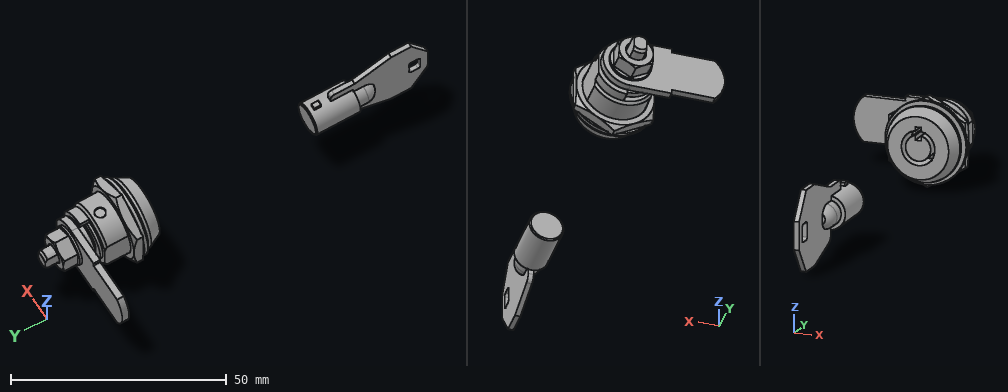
import cadquery as cq
import math


bezel_front_radius = 7.6
bezel_radius = 9.2
bezel_cone_length = 3.2
bezel_back = 4.1
barrel_radius = 8.0
barrel_half_width = 6.9
barrel_end = 14.5
barrel_chamfer = 0.6
hub_end = 15.2
hub_radius = 6.0
stop_end = 17.1
stop_radius = barrel_radius - barrel_chamfer
dimple_radius = 1.4
dimple_y = 11.6
dimple_floor = 7.5

keyway_radius = 4.2
keyway_core_radius = 3.1
keyway_depth = 6.3
notch_width = 1.5
notch_bottom = 1.9
notch_top = 5.1
stem_radius = 2.5
stem_half_width = 1.6
stem_end = 27.4
stem_chamfer = 0.6

washer_front = 4.7
washer_back = 5.6
washer_radius = 10.1
nut_back = 8.1
nut_corner_radius = 10.9
nut_chamfer_angle = 30

cam_tab_front = 16.1
cam_front = 17.6
cam_back = 19.5
cam_hub_radius = 5.6
cam_tab_radius = 7.3
cam_head_radius = 6.6
cam_head_reach = 10.1
cam_arm_half_width = 5.5
cam_arm_straight_reach = 20.6
cam_reach = 23.0

cam_washer_back = 20.1
cam_washer_radius = 5.1
cam_nut_back = 24.1
cam_nut_corner_radius = 4.8

key_tip = -44.5
key_barrel_radius = 4.2
key_barrel_length = 12.0
key_tip_chamfer = 0.3
key_neck_radius = 3.1
key_neck_length = 2.8
key_dome_length = 2.8
key_pin_width = 1.4
key_pin_length = 1.9
key_pin_setback = 1.6
key_pin_top = 4.9
blade_thickness = 1.4
blade_end = -76.8
blade_top_start = -50.6
blade_bottom_start = -56.7
blade_shoulder_height = 6.5
blade_shoulder_end = -57.0
blade_half_height = 9.9
blade_wide_start = -66.9
blade_wide_end = -72.3
blade_end_half_height = 3.4
blade_top_fillet = 0.9
blade_bottom_fillet = 1.9
ring_hole_y = -73.3
ring_hole_length = 3.0
ring_hole_height = 4.4
ring_hole_fillet = 0.6


def plane_at(y):
    """Workplane across the lock axis: local x is X, local y is Z."""
    return cq.Workplane("XZ", origin=(0, y, 0))


def disc(radius, start, end):
    return plane_at(start).circle(radius).extrude(start - end)


def box(x_range, y_range, z_range):
    """Box between two X, two Y and two Z positions."""
    size = [high - low for low, high in (x_range, y_range, z_range)]
    corner = (x_range[0], y_range[0], z_range[0])
    return cq.Workplane("XY", origin=corner).box(*size, centered=False)


def turned(profile):
    """Solid turned about the Y axis from (radius, y) points that close on the axis."""
    return cq.Workplane("XY").polyline(profile).close().revolve(360, (0, 0), (0, 1))


def double_d(radius, half_width, start, end):
    """Cylinder along Y with a flat on its -X and +X sides."""
    flats = box((-half_width, half_width), (start, end), (-radius, radius))
    return disc(radius, start, end).intersect(flats)


def hex_nut(corner_radius, front, back):
    """Hexagon with corners at +Z and -Z, its back corners turned down to a cone."""
    hexagon = plane_at(front).transformed(rotate=(0, 0, 90))
    hexagon = hexagon.polygon(6, 2 * corner_radius).extrude(front - back)
    face_radius = corner_radius * math.cos(math.pi / 6)
    drop = (corner_radius - face_radius) * math.tan(math.radians(nut_chamfer_angle))
    envelope = turned([
        (0, front),
        (corner_radius, front),
        (corner_radius, back - drop),
        (face_radius, back),
        (0, back),
    ])
    return hexagon.intersect(envelope)


def keyway_notch():
    """Slot above the axis, shared by housing and plug, that lets the key pin in."""
    half_width = notch_width / 2
    return box((-half_width, half_width), (0, keyway_depth), (notch_bottom, notch_top))


def make_housing():
    bezel = turned([
        (0, 0),
        (bezel_front_radius, 0),
        (bezel_radius, bezel_cone_length),
        (bezel_radius, bezel_back),
        (0, bezel_back),
    ])
    barrel = disc(barrel_radius, bezel_back, barrel_end).faces(">Y").chamfer(barrel_chamfer)
    stop = disc(stop_radius, barrel_end, stop_end).cut(disc(hub_radius, barrel_end, stop_end))
    right_half = box((0, stop_radius), (barrel_end, stop_end), (-stop_radius, stop_radius))
    stop = stop.intersect(right_half)
    flats = box(
        (-barrel_half_width, barrel_half_width),
        (bezel_back, stop_end),
        (-barrel_radius, barrel_radius),
    )
    shank = barrel.union(disc(hub_radius, barrel_end, hub_end)).union(stop).intersect(flats)
    bore = disc(keyway_radius, 0, hub_end)
    dimple_plane = cq.Workplane("XY", origin=(0, dimple_y, dimple_floor))
    dimple = dimple_plane.circle(dimple_radius).extrude(barrel_radius)
    return bezel.union(shank).cut(bore).cut(keyway_notch()).cut(dimple)


def make_plug():
    core = disc(keyway_core_radius, 0, keyway_depth).cut(keyway_notch())
    drum = disc(keyway_radius, keyway_depth, hub_end)
    neck = disc(stem_radius, hub_end, cam_tab_front)
    stem = disc(stem_radius, cam_tab_front, stem_end).faces(">Y").chamfer(stem_chamfer)
    flats = double_d(stem_radius, stem_half_width, cam_tab_front, stem_end)
    stem = stem.intersect(flats)
    return core.union(drum).union(neck).union(stem)


def make_washer():
    bore = disc(barrel_radius, washer_front, washer_back)
    return disc(washer_radius, washer_front, washer_back).cut(bore)


def make_nut():
    bore = disc(barrel_radius, washer_back, nut_back)
    return hex_nut(nut_corner_radius, washer_back, nut_back).cut(bore)


def make_cam():
    depth = cam_front - cam_back
    head = box((-cam_head_reach, 0), (cam_front, cam_back), (-cam_head_radius, cam_head_radius))
    head = head.union(disc(cam_head_radius, cam_front, cam_back))
    arm = (
        plane_at(cam_front)
        .moveTo(0, cam_arm_half_width)
        .lineTo(-cam_arm_straight_reach, cam_arm_half_width)
        .threePointArc((-cam_reach, 0), (-cam_arm_straight_reach, -cam_arm_half_width))
        .lineTo(0, -cam_arm_half_width)
        .close()
        .extrude(depth)
    )
    tab = disc(cam_tab_radius, cam_tab_front, cam_front)
    quarter = box((-cam_tab_radius, 0), (cam_tab_front, cam_front), (-cam_tab_radius, 0))
    tab = tab.intersect(quarter)
    hub = disc(cam_hub_radius, cam_tab_front, cam_front)
    bore = double_d(stem_radius, stem_half_width, cam_tab_front, cam_back)
    return head.union(arm).union(tab).union(hub).cut(bore)


def make_cam_washer():
    bore = disc(stem_radius, cam_back, cam_washer_back)
    return disc(cam_washer_radius, cam_back, cam_washer_back).cut(bore)


def make_cam_nut():
    bore = disc(stem_radius, cam_washer_back, cam_nut_back)
    return hex_nut(cam_nut_corner_radius, cam_washer_back, cam_nut_back).cut(bore)


def make_blade():
    outline = [
        (blade_top_start, 0),
        (blade_top_start, blade_shoulder_height),
        (blade_shoulder_end, blade_shoulder_height),
        (blade_wide_start, blade_half_height),
        (blade_wide_end, blade_half_height),
        (blade_end, blade_end_half_height),
        (blade_end, -blade_end_half_height),
        (blade_wide_end, -blade_half_height),
        (blade_wide_start, -blade_half_height),
        (blade_bottom_start, -blade_shoulder_height),
        (blade_bottom_start, 0),
    ]
    side = cq.Workplane("YZ", origin=(-blade_thickness / 2, 0, 0))
    blade = side.polyline(outline).close().extrude(blade_thickness)
    top_corner = cq.selectors.NearestToPointSelector((0, blade_top_start, blade_shoulder_height))
    blade = blade.edges("|X").edges(top_corner).fillet(blade_top_fillet)
    bottom_corner = cq.selectors.NearestToPointSelector((0, blade_bottom_start, -blade_shoulder_height))
    blade = blade.edges("|X").edges(bottom_corner).fillet(blade_bottom_fillet)
    ring_hole = (
        side.center(ring_hole_y, 0)
        .rect(ring_hole_length, ring_hole_height)
        .extrude(blade_thickness)
        .edges("|X")
        .fillet(ring_hole_fillet)
    )
    return blade.cut(ring_hole)


def make_key():
    barrel_end_y = key_tip - key_barrel_length
    neck_end = barrel_end_y - key_neck_length
    dome_end = neck_end - key_dome_length
    barrel = disc(key_barrel_radius, barrel_end_y, key_tip).faces(">Y").chamfer(key_tip_chamfer)
    neck = disc(key_neck_radius, neck_end, barrel_end_y)
    ball = cq.Workplane("XY", origin=(0, neck_end, 0)).sphere(key_neck_radius)
    dome = ball.intersect(disc(key_neck_radius, dome_end, neck_end))
    pin_back = key_tip - key_pin_setback
    pin = box(
        (-key_pin_width / 2, key_pin_width / 2),
        (pin_back - key_pin_length, pin_back),
        (0, key_pin_top),
    )
    return barrel.union(neck).union(dome).union(pin).union(make_blade())


housing = make_housing()
plug = make_plug()
washer = make_washer()
nut = make_nut()
cam = make_cam()
cam_washer = make_cam_washer()
cam_nut = make_cam_nut()
key = make_key()

result = cq.Compound.makeCompound([
    housing.val(),
    plug.val(),
    washer.val(),
    nut.val(),
    cam.val(),
    cam_washer.val(),
    cam_nut.val(),
    key.val(),
])